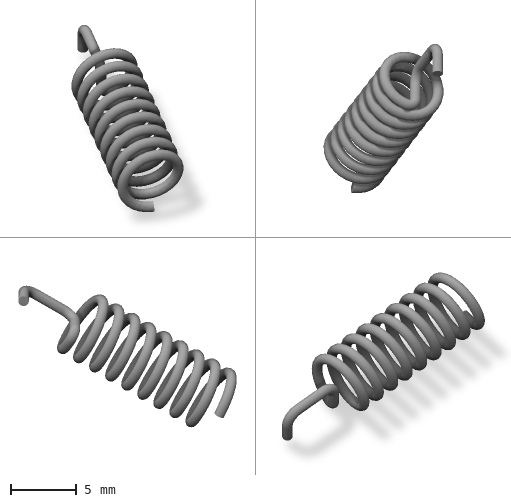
import cadquery as cq
import math

wire_diameter = 0.8
coil_outer_diameter = 5.5
full_turns = 9
full_turns_length = 12.96
length = 18.39

lead_angle = 23.0

hook_y = -0.04
bar_z = 0.63
tip_z = -2.02
leg_bend_radius = 0.53
bar_bend_radius = 1.1

wire_radius = wire_diameter / 2
coil_radius = coil_outer_diameter / 2 - wire_radius
pitch = full_turns_length / full_turns

lead = math.radians(lead_angle)
helix_slope = math.atan2(pitch, 2 * math.pi * coil_radius)
turns = full_turns - lead_angle / 360
helix_height = pitch * turns
end_x = length - wire_radius * math.cos(helix_slope)
radial = cq.Vector(0, math.sin(lead), -math.cos(lead))
around = cq.Vector(0, math.cos(lead), math.sin(lead))
tangent = cq.Vector(1, 0, 0) * math.sin(helix_slope) + around * math.cos(helix_slope)
helix_start = cq.Vector(end_x - helix_height, 0, 0) + radial * coil_radius


def sweep_wire(path, start, direction):
    """Sweep the round wire section along a path."""
    section = cq.Workplane(cq.Plane(origin=start, normal=direction)).circle(wire_radius)
    return section.sweep(path, isFrenet=True)


def bend(before, corner, after, radius):
    """Return the start, middle and end points of a round bend at a corner."""
    backward = (before - corner).normalized()
    forward = (after - corner).normalized()
    half_angle = backward.getAngle(forward) / 2
    setback = radius / math.tan(half_angle)
    middle_distance = radius / math.sin(half_angle) - radius
    middle = corner + (backward + forward).normalized() * middle_distance
    return corner + backward * setback, middle, corner + forward * setback


def make_coil():
    helix = cq.Wire.makeHelix(pitch, helix_height, coil_radius)
    coil_plane = cq.Plane(origin=(helix_start.x, 0, 0), xDir=radial, normal=(1, 0, 0))
    path = helix.moved(cq.Location(coil_plane))
    return sweep_wire(path, helix_start, tangent)


def make_hook():
    leg_corner = helix_start + tangent * ((hook_y - helix_start.y) / tangent.y)
    inner_corner = cq.Vector(leg_corner.x, hook_y, bar_z)
    outer_corner = cq.Vector(wire_radius, hook_y, bar_z)
    tip = cq.Vector(wire_radius, hook_y, tip_z)
    corners = [helix_start, leg_corner, inner_corner, outer_corner, tip]
    bend_radii = [leg_bend_radius, bar_bend_radius, bar_bend_radius]

    edges = []
    position = helix_start
    for i, radius in enumerate(bend_radii):
        start, middle, end = bend(*corners[i:i + 3], radius)
        edges.append(cq.Edge.makeLine(position, start))
        edges.append(cq.Edge.makeThreePointArc(start, middle, end))
        position = end
    edges.append(cq.Edge.makeLine(position, tip))
    return sweep_wire(cq.Wire.assembleEdges(edges), helix_start, tangent * -1)


result = make_coil().union(make_hook())